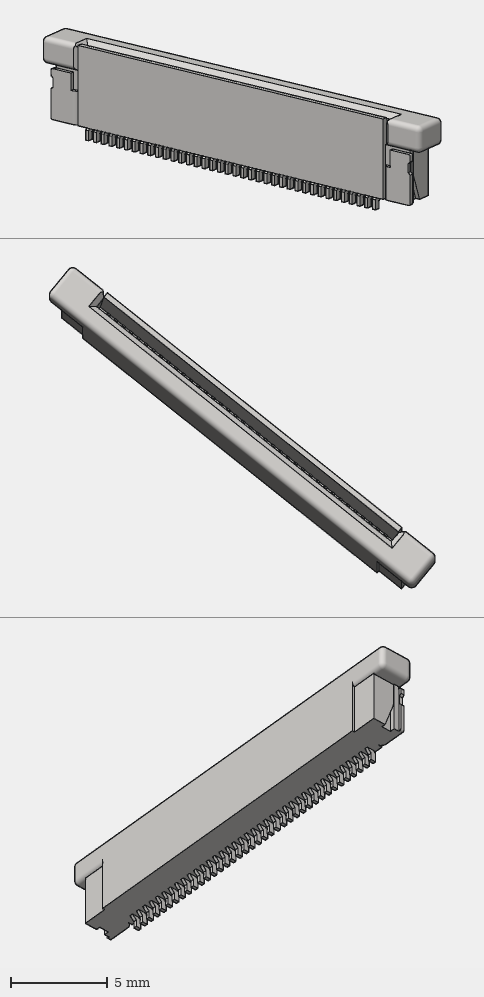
import cadquery as cq


length = 24.43
depth = 2.05
cap_height = 1.47
cap_round = 0.3

housing_height = 4.42
housing_length = 22.72
front_layer_length = 22.82
end_front = 0.54
back_panel = 0.15

plate_length = 19.7
plate_top = 0.3
plate_root = 0.59
slot_back = 0.88
slot_depth = 1.7
mouth_chamfer = 0.3

recess_depth = 0.25
recess_height = 1.61
recess_width = 0.59

tab_outer = 11.58
tab_inner = 10.29
bend_start = 10.16
bend_radius = bend_start - plate_length / 2
tab_top = 1.61
bend_top = 2.57
tab_thickness = 0.22
tab_corner = 0.1
notch_depth = 0.12
notch_top = 2.0
notch_bottom = 2.74

contact_count = 38
contact_row = 18.5
contact_pitch = contact_row / (contact_count - 1)
contact_width = 0.2
contact_bottom = 5.1
foot_thickness = 0.32
foot_back_drop = 0.27
foot_front_drop = 0.12
blade_thickness = 0.07
blade_height = 0.15


def block(x_size, y_min, y_max, z_min, z_max):
    """Box centred on X, between the given Y and Z limits."""
    box = cq.Workplane("XY").box(x_size, y_max - y_min, z_max - z_min, centered=(True, False, False))
    return box.translate((0, y_min, z_min))


def mirrored(shape):
    """The shape together with its mirror image across the YZ plane."""
    return shape.union(shape.mirror("YZ"))


def make_cap():
    """Rounded bar with a front notch, flared at 45 degrees towards the top and towards the front."""
    cap = block(length, 0, depth, -cap_height, 0).edges().fillet(cap_round)
    notch = block(plate_length, 0, slot_back, -cap_height, 0)
    flared_length = plate_length + 2 * mouth_chamfer
    top_flare = (
        cq.Workplane("XY")
        .rect(flared_length, 2 * (slot_back + mouth_chamfer))
        .extrude(-mouth_chamfer, taper=45)
    )
    front_flare = (
        cq.Workplane("XY")
        .moveTo(-flared_length / 2, 0)
        .lineTo(flared_length / 2, 0)
        .lineTo(plate_length / 2, mouth_chamfer)
        .lineTo(-plate_length / 2, mouth_chamfer)
        .close()
        .extrude(-cap_height)
    )
    return cap.cut(notch).cut(top_flare).cut(front_flare)


def make_housing():
    """Plate-wide core with wider layers behind the tabs; each end has a triangular recess."""
    core = block(plate_length, 0, depth, -housing_height, -cap_height / 2)
    plate = block(plate_length, 0, slot_back, -housing_height, 0)
    ends = block(housing_length, end_front, depth - back_panel, -housing_height, -cap_height / 2)
    front_layer = block(front_layer_length, tab_thickness, end_front, -housing_height, -cap_height)
    recess = (
        cq.Workplane("YZ", origin=(-housing_length / 2, 0, 0))
        .moveTo(end_front, -housing_height)
        .lineTo(end_front + recess_width, -housing_height)
        .lineTo(end_front, -housing_height + recess_height)
        .close()
        .extrude(recess_depth)
    )
    return core.union(plate).union(front_layer).union(ends.cut(mirrored(recess)))


def make_slot():
    """Cable slot: the front wall leans so that the plate is thicker at the floor."""
    return (
        cq.Workplane("YZ")
        .moveTo(plate_top, 0)
        .lineTo(slot_back, 0)
        .lineTo(slot_back, -slot_depth)
        .lineTo(plate_root, -slot_depth)
        .close()
        .extrude(plate_length / 2, both=True)
    )


def make_tab():
    """Flat tab on the -X side with a notched outer edge and a bend that runs back into the housing."""
    flat = (
        cq.Workplane("XZ")
        .moveTo(-tab_outer, -housing_height)
        .lineTo(-tab_outer, -notch_bottom)
        .lineTo(-tab_outer + notch_depth, -notch_bottom + notch_depth)
        .lineTo(-tab_outer + notch_depth, -notch_top - notch_depth)
        .lineTo(-tab_outer, -notch_top)
        .lineTo(-tab_outer, -tab_top)
        .lineTo(-tab_inner, -tab_top)
        .lineTo(-tab_inner, -bend_top)
        .lineTo(-bend_start, -bend_top)
        .lineTo(-bend_start, -housing_height)
        .close()
        .extrude(-tab_thickness)
    )
    flat = flat.edges("|Y").edges("<X").edges("<Z or >Z").fillet(tab_corner)

    bend_height = housing_height - bend_top
    bend_disc = cq.Workplane("XY").circle(bend_radius).extrude(bend_height)
    front_quarter = cq.Workplane("XY").rect(bend_radius, -bend_radius, centered=False).extrude(bend_height)
    bend = bend_disc.intersect(front_quarter).translate((-bend_start, bend_radius, -housing_height))
    return flat.union(bend)


def make_foot():
    """Solder foot that slants forward below the housing."""
    return (
        cq.Workplane("YZ")
        .moveTo(0, -contact_bottom)
        .lineTo(foot_thickness, -contact_bottom)
        .lineTo(foot_thickness, -housing_height - foot_back_drop)
        .lineTo(foot_thickness + foot_back_drop, -housing_height)
        .lineTo(foot_front_drop, -housing_height)
        .lineTo(0, -housing_height - foot_front_drop)
        .close()
        .extrude(contact_width / 2, both=True)
    )


def make_blade():
    """Contact blade standing on the slot floor against the plate root."""
    blade_back = plate_root + blade_thickness
    return block(contact_width, plate_root, blade_back, -slot_depth, -slot_depth + blade_height)


def add_contact_row(body):
    """The body with an evenly spaced row of feet and blades, centred on X."""
    foot = make_foot()
    blade = make_blade()
    row_start = -contact_row / 2
    for index in range(contact_count):
        offset = (row_start + index * contact_pitch, 0, 0)
        body = body.union(foot.translate(offset)).union(blade.translate(offset))
    return body


body = make_cap().union(make_housing()).cut(make_slot()).union(mirrored(make_tab()))
result = add_contact_row(body)